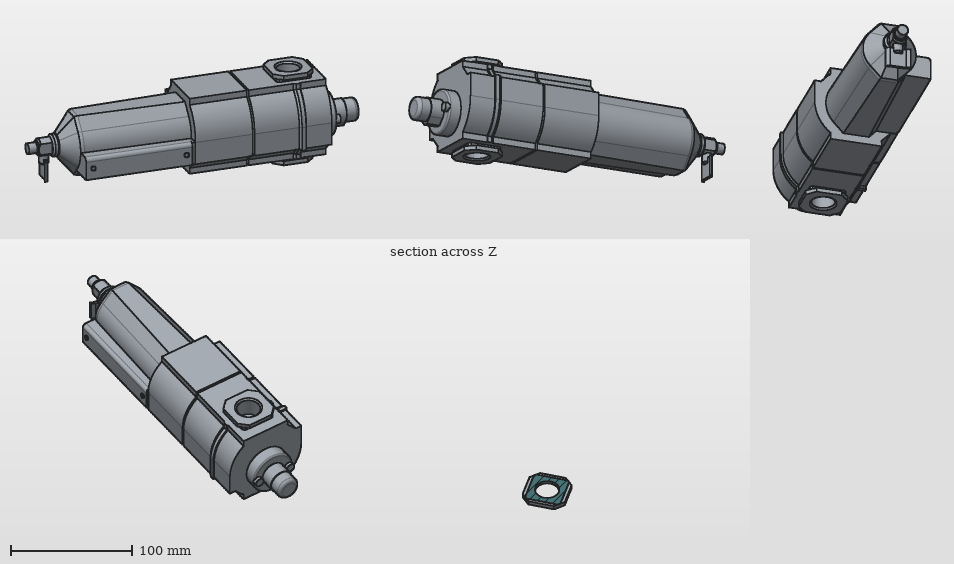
import cadquery as cq
import math


KNOB_END_Y = 59.7
KNOB_STEP_Y = 48.0
FLANGE_END_Y = 36.2
HEAD_BACK_Y = 25.2
HEAD_FRONT_Y = -43.0
GUARD_BACK_Y = -44.5
GUARD_FRONT_Y = -95.0
BOWL_SHOULDER_Y = -188.5
CONE_BACK_Y = -191.5
CONE_TIP_Y = -204.8
COLLAR_FRONT_Y = -208.3
DRAIN_NECK_Y = -210.0
DRAIN_FRONT_Y = -221.5
OUTLET_RING_Y = -222.7
OUTLET_END_Y = -230.0

BODY_RADIUS = 35.5
PAD_HALF_WIDTH = 22.0
PAD_HEIGHT = 33.5
SLANT_TOP_Z = 28.5
SLANT_SIDE_X = 30.0
STEP_Z = 19.7

RIB_RISE = 1.2
RIB_BACK_Y = 2.3
RIB_EDGE_Y = -1.5
RIB_FRONT_Y = -3.5

PORT_FACE_Z = 40.0
PORT_PLATE_THICKNESS = 3.8
PORT_PLATE_WIDTH = 36.2
PORT_PLATE_LENGTH = 35.3
PORT_PLATE_CUT = 7.2
PORT_NECK_SIZE = 30.5
PORT_NECK_CUT = 1.7
PORT_RADIUS = 9.8
PORT_CHAMFER = 1.5
PORT_DEPTH = 17.5

SPIGOT_RADIUS = 29.5

BOWL_MOUTH = (26.0, 11.0, 26.6, 17.0)
BOWL_SHOULDER = (23.8, 8.0, 26.6, 16.2)
CONE_BACK = (23.0, 7.2, 25.8, 15.5)
CONE_TIP = (9.5, 3.0, 9.8, 6.7)

BOX_SIDE_X = BODY_RADIUS
BOX_TOP_Z = -0.3
BOX_BOTTOM_Z = -20.0
BOX_GAP = 2.5
BOX_EDGE_RADIUS = 3.5
BOX_NECK_INSET = 0.5
BOX_SCREW_RADIUS = 2.0
BOX_SCREW_HEIGHT = 1.0
BOX_SCREW_YS = (-102.8, -185.0)

COLLAR_RADIUS = 9.5
COLLAR_CHAMFER = 1.0
DRAIN_RADIUS = 7.5
DRAIN_FLAT_X = 5.8
DRAIN_CHAMFER = 1.5
OUTLET_RING_RADIUS = 5.2
OUTLET_RADIUS = 4.5

HANDLE_Y = -215.5
STEM_RADIUS = 4.0
STEM_BOTTOM_Z = -15.0
STEM_CHAMFER = 1.2
WING_TOP_Z = -10.5
WING_BOTTOM_Z = -27.5
WING_HALF_WIDTH = 10.0
WING_BEND_X = 7.0
WING_THICKNESS = 2.3
WING_OFFSET = 1.7

INDICATOR_Z = -6.5
FLANGE_RADIUS = 19.0
FLANGE_FILLET = 1.5
KNOB_RADIUS = 9.8
KNOB_FILLET = 3.2
BASE_RADIUS = 10.5
BASE_BOTTOM_Z = -18.8
SCREW_RADIUS = 3.8
SCREW_HEIGHT = 3.2
SCREW_X = FLANGE_RADIUS - SCREW_RADIUS


def plane_at(y):
    """Workplane across the long axis: local x is X, local y is Z, and it extrudes toward -Y."""
    return cq.Workplane("XZ", origin=(0, y, 0))


def body_outline(workplane, rise=0.0):
    """Outline with flat pads above and below; it repeats after half a turn about Y."""
    radius = BODY_RADIUS + rise
    pad_x = PAD_HALF_WIDTH + rise
    arc_z = math.sqrt(radius**2 - pad_x**2)
    middle = math.atan2(arc_z, pad_x) / 2
    arc_middle = (radius * math.cos(middle), radius * math.sin(middle))
    outline = workplane.moveTo(-pad_x, PAD_HEIGHT)
    for side in (1, -1):
        outline = (
            outline.lineTo(side * pad_x, side * PAD_HEIGHT)
            .lineTo(side * pad_x, side * arc_z)
            .threePointArc((side * arc_middle[0], side * arc_middle[1]), (side * radius, 0))
            .lineTo(side * radius, -side * (STEP_Z + rise))
            .lineTo(side * SLANT_SIDE_X, -side * (STEP_Z + rise))
            .lineTo(side * pad_x, -side * (SLANT_TOP_Z + rise))
        )
        if side == 1:
            outline = outline.lineTo(pad_x, -PAD_HEIGHT)
    return outline.close()


def make_rib():
    """Raised band on the sides of the head, with a sloped front flank."""
    band = body_outline(plane_at(RIB_BACK_Y), RIB_RISE).extrude(RIB_BACK_Y - RIB_EDGE_Y)
    crest = body_outline(plane_at(RIB_EDGE_Y), RIB_RISE)
    flank = body_outline(crest.workplane(offset=RIB_EDGE_Y - RIB_FRONT_Y))
    return band.union(flank.loft(ruled=True))


def make_port():
    """Upper port flange: a cut-corner plate on a narrower neck."""
    plate_bottom_z = PORT_FACE_Z - PORT_PLATE_THICKNESS
    neck = (
        cq.Workplane("XY", origin=(0, 0, PAD_HEIGHT))
        .rect(PORT_NECK_SIZE, PORT_NECK_SIZE)
        .extrude(plate_bottom_z - PAD_HEIGHT)
        .edges("|Z")
        .chamfer(PORT_NECK_CUT)
    )
    plate = (
        cq.Workplane("XY", origin=(0, 0, plate_bottom_z))
        .rect(PORT_PLATE_WIDTH, PORT_PLATE_LENGTH)
        .extrude(PORT_PLATE_THICKNESS)
        .edges("|Z")
        .chamfer(PORT_PLATE_CUT)
    )
    return neck.union(plate)


def make_port_bore():
    """Blind upper port bore with a chamfered mouth."""
    mouth_radius = PORT_RADIUS + PORT_CHAMFER
    profile = [
        (0, PORT_FACE_Z),
        (mouth_radius, PORT_FACE_Z),
        (PORT_RADIUS, PORT_FACE_Z - PORT_CHAMFER),
        (PORT_RADIUS, PORT_FACE_Z - PORT_DEPTH),
        (0, PORT_FACE_Z - PORT_DEPTH),
    ]
    return cq.Workplane("XZ").polyline(profile).close().revolve(360, (0, 0), (0, 1))


def make_head():
    head = body_outline(plane_at(HEAD_BACK_Y)).extrude(HEAD_BACK_Y - HEAD_FRONT_Y)
    head = head.union(make_rib())
    port = make_port()
    bore = make_port_bore()
    head = head.union(port).union(port.mirror("XY"))
    return head.cut(bore).cut(bore.mirror("XY"))


def make_guard():
    guard = body_outline(plane_at(GUARD_BACK_Y)).extrude(GUARD_BACK_Y - GUARD_FRONT_Y)
    spigot = plane_at(HEAD_FRONT_Y).circle(SPIGOT_RADIUS).extrude(HEAD_FRONT_Y - GUARD_BACK_Y)
    return guard.union(spigot)


def bowl_section(workplane, section):
    """Round sides joined by slanted faces to a flat above and a flat below."""
    radius, flat_x, flat_z, corner_z = section
    corner_x = math.sqrt(radius**2 - corner_z**2)
    return (
        workplane.moveTo(-flat_x, flat_z)
        .lineTo(flat_x, flat_z)
        .lineTo(corner_x, corner_z)
        .threePointArc((radius, 0), (corner_x, -corner_z))
        .lineTo(flat_x, -flat_z)
        .lineTo(-flat_x, -flat_z)
        .lineTo(-corner_x, -corner_z)
        .threePointArc((-radius, 0), (-corner_x, corner_z))
        .close()
    )


def box_block(back_y, side_x, front_y):
    """Block from the bowl axis out to side_x, with the height of the sight box."""
    height = BOX_TOP_Z - BOX_BOTTOM_Z
    middle_z = (BOX_TOP_Z + BOX_BOTTOM_Z) / 2
    return plane_at(back_y).center(side_x / 2, middle_z).rect(side_x, height).extrude(back_y - front_y)


def make_sight_box():
    """Sight box with a rounded upper edge, a neck to the guard and two screw heads."""
    box_back_y = GUARD_FRONT_Y - BOX_GAP
    box = box_block(box_back_y, BOX_SIDE_X, CONE_BACK_Y)
    box = box.edges("|Y and >X and >Z").fillet(BOX_EDGE_RADIUS)
    box = box.union(box_block(GUARD_FRONT_Y, BOX_SIDE_X - BOX_NECK_INSET, box_back_y))
    middle_z = (BOX_TOP_Z + BOX_BOTTOM_Z) / 2
    screws = (
        cq.Workplane("YZ", origin=(BOX_SIDE_X, 0, middle_z))
        .pushPoints([(y, 0) for y in BOX_SCREW_YS])
        .circle(BOX_SCREW_RADIUS)
        .extrude(BOX_SCREW_HEIGHT)
    )
    return box.union(screws)


def make_bowl():
    bowl = bowl_section(plane_at(GUARD_FRONT_Y), BOWL_MOUTH)
    bowl = bowl_section(bowl.workplane(offset=GUARD_FRONT_Y - BOWL_SHOULDER_Y), BOWL_SHOULDER)
    bowl = bowl_section(bowl.workplane(offset=BOWL_SHOULDER_Y - CONE_BACK_Y), CONE_BACK)
    bowl = bowl_section(bowl.workplane(offset=CONE_BACK_Y - CONE_TIP_Y), CONE_TIP)
    return bowl.loft(ruled=True).union(make_sight_box())


def make_drain():
    """Turned drain valve with two side flats on its barrel."""
    profile = [
        (0, CONE_TIP_Y),
        (COLLAR_RADIUS - COLLAR_CHAMFER, CONE_TIP_Y),
        (COLLAR_RADIUS, CONE_TIP_Y - COLLAR_CHAMFER),
        (COLLAR_RADIUS, COLLAR_FRONT_Y),
        (DRAIN_RADIUS, DRAIN_NECK_Y),
        (DRAIN_RADIUS, DRAIN_FRONT_Y + DRAIN_CHAMFER),
        (DRAIN_RADIUS - DRAIN_CHAMFER, DRAIN_FRONT_Y),
        (OUTLET_RING_RADIUS, DRAIN_FRONT_Y),
        (OUTLET_RING_RADIUS, OUTLET_RING_Y),
        (OUTLET_RADIUS, OUTLET_RING_Y),
        (OUTLET_RADIUS, OUTLET_END_Y),
        (0, OUTLET_END_Y),
    ]
    drain = cq.Workplane("XY").polyline(profile).close().revolve(360, (0, 0), (0, 1))
    slab_size = 2 * DRAIN_RADIUS
    slab_x = DRAIN_FLAT_X + slab_size / 2
    slabs = (
        plane_at(DRAIN_NECK_Y)
        .pushPoints([(-slab_x, 0), (slab_x, 0)])
        .rect(slab_size, slab_size)
        .extrude(DRAIN_NECK_Y - DRAIN_FRONT_Y)
    )
    return drain.cut(slabs)


def make_handle(drain):
    """Stem below the drain barrel, carrying a plate with ends bent in opposite directions."""
    stem = cq.Workplane("XY", origin=(0, HANDLE_Y, STEM_BOTTOM_Z)).circle(STEM_RADIUS).extrude(-STEM_BOTTOM_Z)
    stem = stem.faces("<Z").chamfer(STEM_CHAMFER)
    half = WING_THICKNESS / 2
    centre_line = [
        (-WING_HALF_WIDTH, WING_OFFSET),
        (-WING_BEND_X, 0),
        (WING_BEND_X, 0),
        (WING_HALF_WIDTH, -WING_OFFSET),
    ]
    rear_side = [(x, y + half) for x, y in centre_line]
    front_side = [(x, y - half) for x, y in reversed(centre_line)]
    wings = (
        cq.Workplane("XY", origin=(0, HANDLE_Y, WING_BOTTOM_Z))
        .polyline(rear_side + front_side)
        .close()
        .extrude(WING_TOP_Z - WING_BOTTOM_Z)
    )
    return stem.union(wings).cut(drain)


def make_indicator():
    """Round flange with two screw heads, a drop-shaped base and a round knob."""
    flange = plane_at(FLANGE_END_Y).center(0, INDICATOR_Z).circle(FLANGE_RADIUS)
    flange = flange.extrude(FLANGE_END_Y - HEAD_BACK_Y).faces(">Y").edges().fillet(FLANGE_FILLET)

    tangent = BASE_RADIUS / math.sqrt(2)
    tip_x = 2 * tangent - (INDICATOR_Z - BASE_BOTTOM_Z)
    base = (
        plane_at(KNOB_STEP_Y)
        .moveTo(-tip_x, BASE_BOTTOM_Z)
        .lineTo(-tangent, INDICATOR_Z - tangent)
        .threePointArc((0, INDICATOR_Z + BASE_RADIUS), (tangent, INDICATOR_Z - tangent))
        .lineTo(tip_x, BASE_BOTTOM_Z)
        .close()
        .extrude(KNOB_STEP_Y - FLANGE_END_Y)
    )
    knob = plane_at(KNOB_END_Y).center(0, INDICATOR_Z).circle(KNOB_RADIUS)
    knob = knob.extrude(KNOB_END_Y - KNOB_STEP_Y).faces(">Y").edges().fillet(KNOB_FILLET)
    screws = (
        plane_at(FLANGE_END_Y + SCREW_HEIGHT)
        .pushPoints([(-SCREW_X, INDICATOR_Z), (SCREW_X, INDICATOR_Z)])
        .circle(SCREW_RADIUS)
        .extrude(SCREW_HEIGHT + FLANGE_FILLET)
    )
    return flange.union(base).union(knob).union(screws)


head = make_head()
guard = make_guard()
bowl = make_bowl()
drain = make_drain()
handle = make_handle(drain)
indicator = make_indicator()

result = cq.Compound.makeCompound(
    [head.val(), guard.val(), bowl.val(), drain.val(), handle.val(), indicator.val()]
)